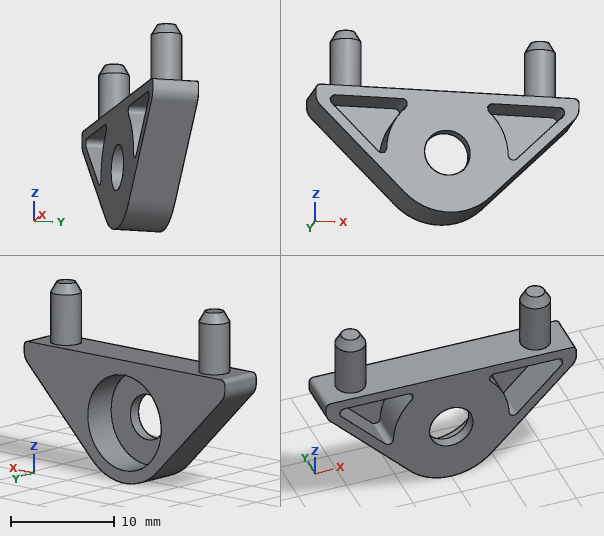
import cadquery as cq
import math

plate_width = 26.0
plate_thickness = 4.6
top_corner_radius = 0.5
side_corner_radius = 1.5

hole_diameter = 4.5
counterbore_diameter = 9.5
hole_lip_thickness = 1.2
lobe_radius = 6.0
top_height = 6.2

pocket_wall = 1.0
pocket_depth = 3.6
pocket_corner_radius = 0.5
pocket_inner_radius = 6.0

pin_diameter = 3.0
pin_height = 6.0
pin_spacing = 19.2
pin_tip_height = 1.0
pin_tip_angle = 30.0

half_width = plate_width / 2
front_y = -plate_thickness / 2
back_y = plate_thickness / 2
flank_sum = lobe_radius * math.sqrt(2)
tangent_offset = lobe_radius / math.sqrt(2)


def make_plate():
    flank_top_z = half_width - flank_sum
    plate = (
        cq.Workplane("XZ", origin=(0, back_y, 0))
        .moveTo(-half_width, top_height)
        .lineTo(half_width, top_height)
        .lineTo(half_width, flank_top_z)
        .lineTo(tangent_offset, -tangent_offset)
        .threePointArc((0, -lobe_radius), (-tangent_offset, -tangent_offset))
        .lineTo(-half_width, flank_top_z)
        .close()
        .extrude(plate_thickness)
    )
    for end_face in ("<X", ">X"):
        plate = plate.faces(end_face).edges("|Y and >Z").fillet(top_corner_radius)
        plate = plate.faces(end_face).edges("|Y and <Z").fillet(side_corner_radius)
    return plate


def point_on_pocket_arc(angle):
    return (pocket_inner_radius * math.cos(angle), pocket_inner_radius * math.sin(angle))


def make_right_pocket():
    pocket_top_z = top_height - pocket_wall
    flank_distance = lobe_radius - pocket_wall
    outer_x = pocket_top_z + flank_distance * math.sqrt(2)

    top_angle = math.asin(pocket_top_z / pocket_inner_radius)
    flank_angle = math.acos(flank_distance / pocket_inner_radius) - math.pi / 4
    middle_angle = (top_angle + flank_angle) / 2

    return (
        cq.Workplane("XZ", origin=(0, front_y + pocket_depth, 0))
        .moveTo(outer_x, pocket_top_z)
        .lineTo(*point_on_pocket_arc(top_angle))
        .threePointArc(point_on_pocket_arc(middle_angle), point_on_pocket_arc(flank_angle))
        .close()
        .extrude(pocket_depth)
        .edges("|Y")
        .fillet(pocket_corner_radius)
    )


def make_pin(x):
    radius = pin_diameter / 2
    tip_radius = radius - pin_tip_height * math.tan(math.radians(pin_tip_angle))
    profile = (
        cq.Workplane("XZ", origin=(x, 0, top_height))
        .lineTo(radius, 0)
        .lineTo(radius, pin_height - pin_tip_height)
        .lineTo(tip_radius, pin_height)
        .lineTo(0, pin_height)
        .close()
    )
    return profile.revolve(360, (0, 0), (0, 1))


def make_pivot_hole():
    back_face = cq.Workplane("XZ", origin=(0, back_y, 0))
    hole = back_face.circle(hole_diameter / 2).extrude(plate_thickness)
    counterbore_depth = plate_thickness - hole_lip_thickness
    counterbore = back_face.circle(counterbore_diameter / 2).extrude(counterbore_depth)
    return hole.union(counterbore)


right_pocket = make_right_pocket()
left_pocket = right_pocket.mirror("YZ")

result = make_plate().cut(make_pivot_hole()).cut(right_pocket).cut(left_pocket)
for side in (-1, 1):
    result = result.union(make_pin(side * pin_spacing / 2))